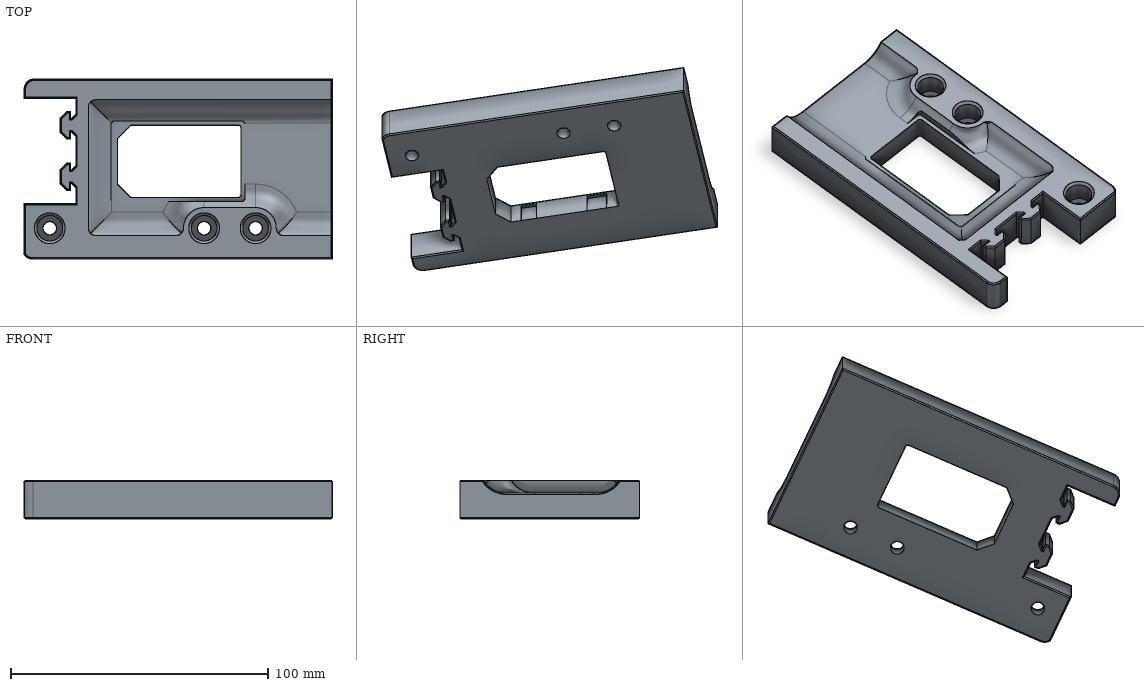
import cadquery as cq
import math

length = 119.8
width = 70.0
thickness = 15.0
corner_radius = 4.0
front_corner_trim = 0.6
edge_chamfer = 0.5
left = -length / 2
right = length / 2
front = -width / 2
back = width / 2

notch_wall_x = -39.8
notch_front = -13.4
notch_back = 27.4

hook_centres = (-3.0, 17.0)
hook_reach = 6.1
hook_nose_half = 2.8
hook_tip_half = 5.3
hook_barb = 1.5
hook_neck_half = 2.5
hook_root_half = 4.3
hook_nose_x = notch_wall_x - hook_reach
hook_tip_x = hook_nose_x + hook_tip_half - hook_nose_half
hook_barb_x = hook_tip_x + hook_barb
hook_neck_x = notch_wall_x - (hook_root_half - hook_neck_half)

tray_left = -35.0
tray_front = -25.9
tray_back = 27.0
tray_corner_radius = 3.0
tray_depth = 5.0
side_run = 9.1
side_radius = (side_run**2 + tray_depth**2) / (2 * tray_depth)
floor_z = thickness - tray_depth
side_half_angle = math.asin(side_run / side_radius) / 2
side_middle_run = side_run - side_radius * math.sin(side_half_angle)
side_middle_rise = side_radius * (1 - math.cos(side_half_angle))

hole_y = -23.0
hole_pitch = 20.0
first_island_hole = 10.1
island_holes = (first_island_hole, first_island_hole + hole_pitch)
arm_hole = first_island_hole - 3 * hole_pitch
hole_diameter = 5.2
counterbore_diameter = 10.0
counterbore_depth = 9.0
counterbore_chamfer = 1.0
island_radius = 8.0
island_fillet = 3.0

window_left = -23.6
window_right = 24.3
window_front = -11.0
window_back = 17.0
window_bevel = 5.2
window_corner_radius = 1.0
margin = 1.7
margin_left = -26.2
margin_bevel = 1.0

catches = ((-14.4, -8.4), (11.6, 19.4))
catch_depth = 1.2
catch_lip = 1.0


def block(x_start, x_end, y_start, y_end, z_start, z_end):
    """Rectangular block between the given limits."""
    return (
        cq.Workplane("XY", origin=(0, 0, z_start))
        .moveTo(x_start, y_start)
        .rect(x_end - x_start, y_end - y_start, centered=False)
        .extrude(z_end - z_start)
    )


def hook_half(centre_y, side):
    """Outline points of half a hook, from the notch wall out to the nose."""
    return [
        (notch_wall_x, centre_y + side * hook_root_half),
        (hook_neck_x, centre_y + side * hook_neck_half),
        (hook_barb_x, centre_y + side * hook_neck_half),
        (hook_barb_x, centre_y + side * hook_tip_half),
        (hook_tip_x, centre_y + side * hook_tip_half),
        (hook_nose_x, centre_y + side * hook_nose_half),
    ]


def plate_blank():
    """Solid plate with its notch, hooks and rounded left corners.

    The front arm is rounded while slightly too long and then trimmed, so its arc meets
    the end face at an angle.
    """
    untrimmed_left = left - front_corner_trim
    outline = [(untrimmed_left, front), (right, front), (right, back), (left, back)]
    outline += [(left, notch_back), (notch_wall_x, notch_back)]
    for centre_y in sorted(hook_centres, reverse=True):
        outline += hook_half(centre_y, 1)
        outline += reversed(hook_half(centre_y, -1))
    outline += [(notch_wall_x, notch_front), (untrimmed_left, notch_front)]
    blank = cq.Workplane("XY").polyline(outline).close().extrude(thickness)
    for x, y in ((untrimmed_left, front), (left, back)):
        corner = cq.selectors.NearestToPointSelector((x, y, thickness / 2))
        blank = blank.edges(corner).fillet(corner_radius)
    return blank.intersect(block(left, right, front, back, 0, thickness))


def side_profile(origin, inward, along, rim=0.0):
    """Cross-section of a tray side: local x points into the tray, local y up from the floor.

    The arc is level where it meets the floor and rises to the tray rim at local x = rim.
    """
    return (
        cq.Workplane(cq.Plane(origin, xDir=inward, normal=along))
        .moveTo(rim, 0)
        .lineTo(rim + side_run, 0)
        .threePointArc((rim + side_middle_run, side_middle_rise), (rim, tray_depth))
        .close()
    )


def tray_sides():
    """Material left standing in the tray along its rim and around the island."""
    tray_length = right - tray_left
    tray_width = tray_back - tray_front
    front_left = (tray_left, tray_front, floor_z)
    back_right = (right, tray_back, floor_z)
    back_left = (tray_left, tray_back, floor_z)
    sides = side_profile(front_left, (0, 1, 0), (1, 0, 0)).extrude(tray_length)
    sides = sides.union(side_profile(back_right, (0, -1, 0), (-1, 0, 0)).extrude(tray_length))
    sides = sides.union(side_profile(back_left, (1, 0, 0), (0, -1, 0)).extrude(tray_width))

    first_hole = (first_island_hole, hole_y, floor_z)
    straight = side_profile(first_hole, (0, 1, 0), (1, 0, 0), island_radius)
    sides = sides.union(straight.extrude(hole_pitch))
    for x in island_holes:
        bend = side_profile((x, hole_y, floor_z), (1, 0, 0), (0, -1, 0), island_radius)
        sides = sides.union(bend.revolve(360, (0, 0, 0), (0, 1, 0)))
    return sides


def tray():
    """Space cut from the plate to form the tray."""
    middle_x = sum(island_holes) / len(island_holes)
    pocket = block(tray_left, right, tray_front, tray_back, floor_z, thickness)
    pocket = pocket.edges("|Z and <X").fillet(tray_corner_radius)
    island = (
        cq.Workplane("XY", origin=(0, 0, floor_z))
        .center(middle_x, hole_y)
        .slot2D(hole_pitch + 2 * island_radius, 2 * island_radius)
        .extrude(tray_depth)
    )
    pocket = pocket.cut(island)
    for side in (-1, 1):
        joint_x = middle_x + side * (hole_pitch / 2 + island_radius)
        joint = cq.selectors.NearestToPointSelector((joint_x, tray_front, floor_z + tray_depth / 2))
        pocket = pocket.edges("|Z").edges(joint).fillet(island_fillet)
    return pocket.cut(tray_sides())


def tray_mouth_bevel():
    """Space cut from the right end to bevel the open mouth of the tray."""
    middle_z = floor_z + side_middle_rise
    above_z = thickness + tray_depth
    mouth = (
        cq.Workplane("YZ", origin=(right - edge_chamfer, 0, 0))
        .moveTo(tray_front, above_z)
        .lineTo(tray_front, thickness)
        .threePointArc((tray_front + side_middle_run, middle_z), (tray_front + side_run, floor_z))
        .lineTo(tray_back - side_run, floor_z)
        .threePointArc((tray_back - side_middle_run, middle_z), (tray_back, thickness))
        .lineTo(tray_back, above_z)
        .close()
    )
    return mouth.extrude(edge_chamfer, taper=-45)


def window():
    """Space cut for the window, its level margin and its catches."""
    opening = block(window_left, window_right, window_front, window_back, 0, thickness)
    opening = opening.edges("|Z and <X").chamfer(window_bevel)
    opening = opening.edges("|Z and >X").fillet(window_corner_radius)
    margin_right = window_right + margin
    margin_front = window_front - margin
    margin_back = window_back + margin
    level = block(margin_left, margin_right, margin_front, margin_back, floor_z, thickness)
    opening = opening.union(level.edges("|Z").chamfer(margin_bevel))
    catch_top = floor_z - catch_lip
    wedge = [(window_back, 0), (window_back, catch_top), (window_back + catch_depth, catch_top)]
    for start, end in catches:
        catch = cq.Workplane("YZ", origin=(start, 0, 0)).polyline(wedge).close().extrude(end - start)
        opening = opening.union(catch)
    return opening


def screw_holes():
    """Counterbored clearance holes with a bevelled mouth, as a solid to cut away."""
    mouth = counterbore_diameter / 2 + counterbore_chamfer
    profile = [
        (0, 0),
        (hole_diameter / 2, 0),
        (hole_diameter / 2, thickness - counterbore_depth),
        (counterbore_diameter / 2, thickness - counterbore_depth),
        (counterbore_diameter / 2, thickness - counterbore_chamfer),
        (mouth, thickness),
        (0, thickness),
    ]
    hole = cq.Workplane("XZ").polyline(profile).close().revolve(360, (0, 0, 0), (0, 1, 0))
    holes = cq.Workplane("XY")
    for x in (arm_hole,) + island_holes:
        holes = holes.union(hole.translate((x, hole_y, 0)))
    return holes


result = plate_blank().faces("<Z or >Z").edges().chamfer(edge_chamfer)
result = result.cut(tray()).cut(tray_mouth_bevel())
result = result.cut(window()).cut(screw_holes())